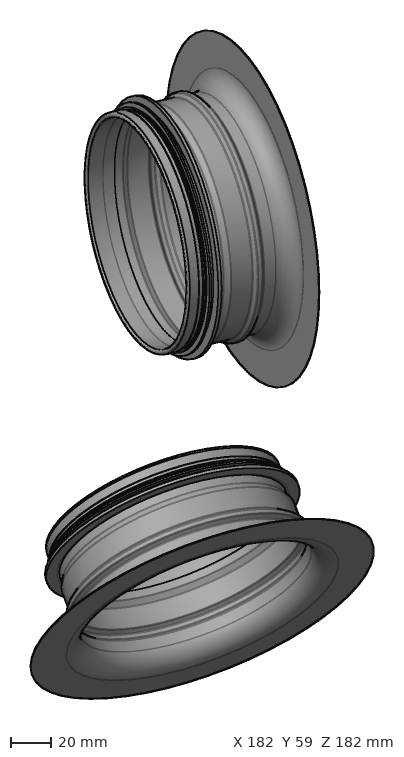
import cadquery as cq
import math


length = 59.0
sheet = 0.45
flange_radius = 91.0

tube_radius = 124.0 / 2
bead_radius = 64.3
groove_radius = 120.5 / 2
mouth_radius = 118.3 / 2

flare_depth = 10.5
bead_start = 17.1
bead_crest_start = 19.0
bead_crest_end = 21.5
bead_end = 23.3
neck_start = 35.1
neck_end = 38.5
taper_start = 49.3
hem_edge = 52.6
bend_radius = 0.5

flare_radius = flare_depth - sheet
curl_radius = (tube_radius - mouth_radius) / 2
curl_center = mouth_radius + curl_radius
curl_depth = length - curl_radius

seal_start = 42.8
seal_radius = tube_radius - sheet
fins = [
    (seal_start, 1.8, 134.5 / 2),
    (47.2, 1.1, 129.5 / 2),
    (49.5, 1.0, 62.6),
]


def revolve_face(face):
    """Turn a radius/Y face into a ring around the Y axis."""
    return cq.Solid.revolve(face, 360, cq.Vector(0, 0, 0), cq.Vector(0, 1, 0))


def tube_points(inset):
    """Corners along the bead and neck, from flare to taper, moved inward by inset."""
    corners = [
        (tube_radius, flare_depth),
        (tube_radius, bead_start),
        (bead_radius, bead_crest_start),
        (bead_radius, bead_crest_end),
        (tube_radius, bead_end),
        (tube_radius, neck_start),
        (groove_radius, neck_end),
        (groove_radius, taper_start),
    ]
    return [(radius - inset, -depth) for radius, depth in corners]


def make_collar():
    """Flange, flare, beaded tube and curled hem, formed from one sheet."""
    outer = tube_points(0)
    inner = tube_points(sheet)
    flare_center = tube_radius + flare_radius
    flare_inner = flare_radius + sheet
    diagonal = math.sqrt(0.5)
    profile = (
        cq.Workplane("XY")
        .moveTo(flange_radius, 0)
        .lineTo(flange_radius, -sheet)
        .lineTo(flare_center, -sheet)
        .threePointArc(
            (flare_center - flare_radius * diagonal, -flare_depth + flare_radius * diagonal),
            outer[0],
        )
    )
    for point in outer[1:]:
        profile = profile.lineTo(*point)
    profile = (
        profile
        .lineTo(mouth_radius + sheet, -curl_depth)
        .threePointArc((curl_center, -length + sheet), (seal_radius, -curl_depth))
        .lineTo(seal_radius, -hem_edge)
        .lineTo(tube_radius, -hem_edge)
        .lineTo(tube_radius, -curl_depth)
        .threePointArc((curl_center, -length), (mouth_radius, -curl_depth))
    )
    for point in reversed(inner):
        profile = profile.lineTo(*point)
    profile = profile.threePointArc(
        (flare_center - flare_inner * diagonal, -flare_depth + flare_inner * diagonal),
        (flare_center, 0),
    ).close()

    face = cq.Face.makeFromWires(profile.val())
    bends = [v for v in face.Vertices() if bead_start - sheet < -v.Y < neck_end + sheet]
    return revolve_face(face.fillet2D(bend_radius, bends))


def make_seal():
    """Finned sleeve filling the space between the tapered spigot and its hem."""
    profile = cq.Workplane("XY").moveTo(groove_radius, -seal_start)
    for start, thickness, radius in fins:
        profile = (
            profile
            .lineTo(seal_radius, -start)
            .lineTo(radius, -start)
            .lineTo(radius, -start - thickness)
            .lineTo(seal_radius, -start - thickness)
        )
    profile = (
        profile
        .lineTo(seal_radius, -curl_depth)
        .lineTo(mouth_radius + sheet, -curl_depth)
        .lineTo(groove_radius, -taper_start)
        .close()
    )
    return revolve_face(cq.Face.makeFromWires(profile.val()))


collar = make_collar()
seal = make_seal()

result = cq.Compound.makeCompound([collar, seal])